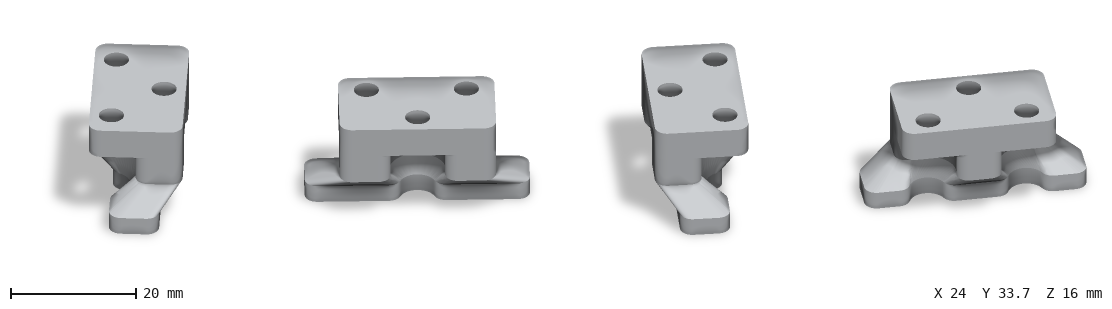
import cadquery as cq
import math

base_height = 3.0
blend_height = 3.0
column_height = 5.0
plate_height = 5.02
column_bottom = base_height + blend_height
plate_bottom = column_bottom + column_height

plate_length = 25.0
plate_width = 15.0
base_length = 36.0
base_width = 8.02
corner_radius = 2.0
tilt_angle = -60

hole_diameter = 4.0
hole_spacing = 15.98
hole_offset = 4.0
column_notch_radius = 4.52
base_notch_radius = 3.0
hole_points = [
    (-hole_spacing / 2, -hole_offset),
    (hole_spacing / 2, -hole_offset),
    (0, hole_offset),
]


def on_circle(center, radius, angle):
    """Point on a circle at an angle in degrees."""
    turn = math.radians(angle)
    return (center[0] + radius * math.cos(turn), center[1] + radius * math.sin(turn))


def line(start, end):
    return cq.Edge.makeLine(cq.Vector(*start), cq.Vector(*end))


def arc(center, radius, start_angle, end_angle):
    middle_angle = (start_angle + end_angle) / 2
    points = [on_circle(center, radius, a) for a in (start_angle, middle_angle, end_angle)]
    return cq.Edge.makeThreePointArc(*[cq.Vector(*p) for p in points])


def mirrored(edges):
    """Copy the edges of the right half onto the left half."""
    return [edge.mirror("YZ") for edge in edges]


def notch_reach(notch_radius, depth_offset):
    """Distance along X from a notch centre to the centre of its rounded lip."""
    return math.sqrt((notch_radius + corner_radius) ** 2 - depth_offset**2)


def side_notch(notch_center, notch_radius, half_width, side):
    """Lip centre Y, distance from the notch and tilt of the lip-to-notch tangency.

    The notch opens through the long side at -Y (side is -1) or +Y (side is 1).
    """
    lip_y = side * (half_width - corner_radius)
    offset = abs(lip_y - notch_center[1])
    reach = notch_reach(notch_radius, offset)
    tilt = math.degrees(math.atan2(side * (lip_y - notch_center[1]), reach))
    return lip_y, reach, tilt


def back_edges(half_length, half_width, notch_radius):
    """Right half of the rear side: end corner, flat, lip and half of the middle notch."""
    notch = hole_points[2]
    lip_y, reach, tilt = side_notch(notch, notch_radius, half_width, 1)
    corner = (half_length - corner_radius, half_width - corner_radius)
    return [
        arc(corner, corner_radius, 0, 90),
        line((corner[0], half_width), (reach, half_width)),
        arc((reach, lip_y), corner_radius, 90, 180 + tilt),
        arc(notch, notch_radius, tilt, -90),
    ]


def wire_from_right_half(edges):
    return cq.Wire.assembleEdges(edges + mirrored(edges)[::-1])


def column_wire():
    """Plate outline with the two front corners and the middle of the rear side notched."""
    half_length = plate_length / 2
    half_width = plate_width / 2
    notch = hole_points[1]
    lip_y, reach, tilt = side_notch(notch, column_notch_radius, half_width, -1)
    front_lip = (notch[0] - reach, lip_y)
    end_lip_x = half_length - corner_radius
    lip_offset = end_lip_x - notch[0]
    end_lip = (end_lip_x, notch[1] + notch_reach(column_notch_radius, lip_offset))
    end_angle = math.degrees(math.atan2(end_lip[1] - notch[1], lip_offset))
    lip_start = end_angle - 180
    end_lip_pieces = 3
    lip_step = -lip_start / end_lip_pieces
    edges = [
        line((0, -half_width), (front_lip[0], -half_width)),
        arc(front_lip, corner_radius, -90, tilt),
        arc(notch, column_notch_radius, 180 + tilt, end_angle),
    ]
    for i in range(end_lip_pieces):
        start = lip_start + i * lip_step
        edges.append(arc(end_lip, corner_radius, start, start + lip_step))
    edges.append(line((half_length, end_lip[1]), (half_length, half_width - corner_radius)))
    return wire_from_right_half(edges + back_edges(half_length, half_width, column_notch_radius))


def base_wire():
    """Long rounded rectangle with one notch below each screw hole."""
    half_length = base_length / 2
    half_width = base_width / 2
    notch = hole_points[1]
    lip_y, reach, tilt = side_notch(notch, base_notch_radius, half_width, -1)
    inner_lip = (notch[0] - reach, lip_y)
    outer_lip = (notch[0] + reach, lip_y)
    corner = (half_length - corner_radius, lip_y)
    edges = [
        line((0, -half_width), (inner_lip[0], -half_width)),
        arc(inner_lip, corner_radius, -90, tilt),
        arc(notch, base_notch_radius, 180 + tilt, -tilt),
        arc(outer_lip, corner_radius, 180 - tilt, 270),
        line((outer_lip[0], -half_width), (corner[0], -half_width)),
        arc(corner, corner_radius, -90, 0),
        line((half_length, lip_y), (half_length, -lip_y)),
    ]
    return wire_from_right_half(edges + back_edges(half_length, half_width, base_notch_radius))


def lower_body():
    """Straight base, blend and straight column, as one ruled solid through four outlines."""
    sections = [
        (base_wire(), 0),
        (base_wire(), base_height),
        (column_wire(), column_bottom),
        (column_wire(), plate_bottom),
    ]
    wires = [wire.translate(cq.Vector(0, 0, height)) for wire, height in sections]
    return cq.Workplane(cq.Solid.makeLoft(wires, True))


def plate():
    return (
        cq.Workplane("XY", origin=(0, 0, plate_bottom))
        .rect(plate_length, plate_width)
        .extrude(plate_height)
        .edges("|Z")
        .fillet(corner_radius)
        .faces(">Z")
        .workplane()
        .pushPoints(hole_points)
        .hole(hole_diameter)
    )


body = lower_body().union(plate())
result = body.rotate((0, 0, 0), (0, 0, 1), tilt_angle)